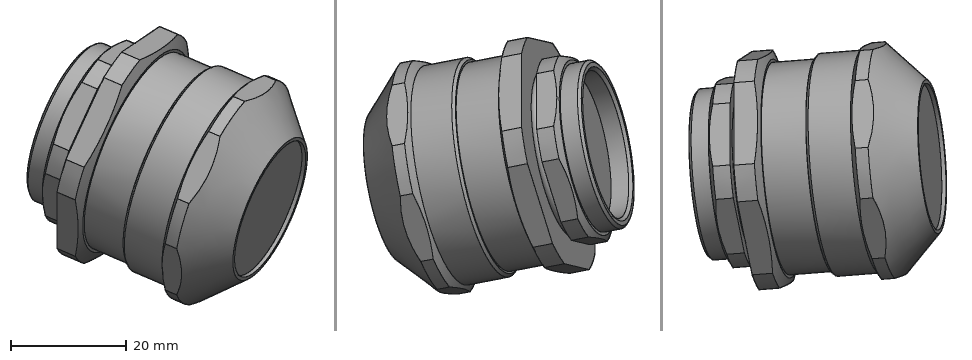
import cadquery as cq
import math


entry_radius = 29.8 / 2
entry_chamfer = 0.5
bore_radius = 26.1 / 2
bore_depth = 3.8
bore_chamfer = 0.55

lock_start = 3.65
lock_end = 7.6
lock_flats = 32.0
lock_corner_radius = 17.05
lock_face_radius = 15.5
lock_cone_length = 0.85

ring_radius = 15.0
ring_thickness = 1.7

flats = 40.0
body_hex_start = 9.0
body_hex_end = 13.57
body_hex_corner_radius = 42.95 / 2
body_hex_face_radius = 19.03
body_hex_cone_length = 0.95

body_radius = 37.0 / 2
collar_start = 21.48
collar_radius = 38.8 / 2
collar_chamfer = 0.5

cap_start = 29.45
cap_corner_radius = 21.0
cap_cone_length = 0.95
taper_start = 32.7
overall_length = 40.15
cap_end_radius = 13.4
recess_radius = 25.5 / 2
recess_depth = 0.75


def cylinder(start, end, radius):
    return cq.Workplane("YZ", origin=(start, 0, 0)).circle(radius).extrude(end - start)


def turned(profile):
    """Revolve (x, radius) points around X, closing the outline along the axis."""
    first_x = profile[0][0]
    last_x = profile[-1][0]
    outline = [(first_x, 0)] + profile + [(last_x, 0)]
    return cq.Workplane("XY").polyline(outline).close().revolve(360, (0, 0, 0), (1, 0, 0))


def hexagonal(profile, across_flats):
    """Cut a turned profile to a hexagon with flats facing -Y and +Y."""
    start = profile[0][0]
    end = profile[-1][0]
    across_corners = across_flats / math.cos(math.radians(30))
    prism = (
        cq.Workplane("YZ", origin=(start, 0, 0))
        .transformed(rotate=(0, 0, 90))
        .polygon(6, across_corners)
        .extrude(end - start)
    )
    return turned(profile).intersect(prism)


entry = cylinder(0, lock_end, entry_radius).faces("<X").chamfer(entry_chamfer)

lock_nut = hexagonal(
    [
        (lock_start, lock_face_radius),
        (lock_start + lock_cone_length, lock_corner_radius),
        (lock_end, lock_corner_radius),
    ],
    lock_flats,
)

ring_section_radius = ring_thickness / 2
ring_neck = cylinder(lock_end, body_hex_start, ring_radius - ring_section_radius)
sealing_ring = (
    cq.Workplane("XY")
    .center(lock_end + ring_section_radius, ring_radius - ring_section_radius)
    .circle(ring_section_radius)
    .revolve(360, (0, ring_section_radius - ring_radius, 0), (1, ring_section_radius - ring_radius, 0))
    .union(ring_neck)
)

body_hex = hexagonal(
    [
        (body_hex_start, body_hex_corner_radius),
        (body_hex_end - body_hex_cone_length, body_hex_corner_radius),
        (body_hex_end, body_hex_face_radius),
    ],
    flats,
)

body = cylinder(body_hex_end, collar_start, body_radius)
collar = cylinder(collar_start, cap_start, collar_radius).faces("<X").chamfer(collar_chamfer)

cap = hexagonal(
    [
        (cap_start, collar_radius),
        (cap_start + cap_cone_length, cap_corner_radius),
        (taper_start, cap_corner_radius),
        (overall_length, cap_end_radius),
    ],
    flats,
)

result = entry
for section in (lock_nut, sealing_ring, body_hex, body, collar, cap):
    result = result.union(section)

mouth = turned([(0, bore_radius + bore_chamfer), (bore_chamfer, bore_radius)])
result = result.cut(cylinder(0, bore_depth, bore_radius)).cut(mouth)

result = result.cut(cylinder(overall_length - recess_depth, overall_length, recess_radius))